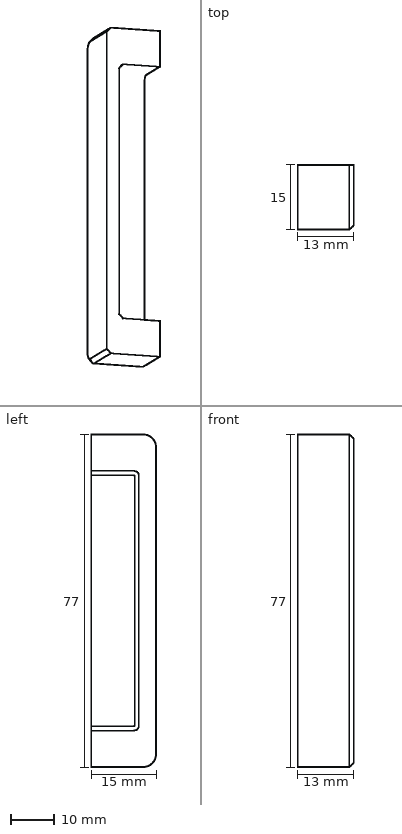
import cadquery as cq

width = 13.0
depth = 15.0
height = 77.0

corner_radius = 3.0
outer_chamfer = 1.0

leg_height = 8.5
grip_thickness = 4.0
wall_thickness = 3.0
recess_corner_radius = 1.1
recess_chamfer = 1.0
overcut = 3.85


def make_body():
    """Bar with rounded front corners and a chamfered +X rim, plain along the back."""
    back_extension = 3.85
    bar = (
        cq.Workplane("XY")
        .box(width, depth + back_extension, height, centered=False)
        .edges("|X and <Y")
        .fillet(corner_radius)
        .faces(">X")
        .chamfer(outer_chamfer)
    )
    envelope = cq.Workplane("XY").box(width, depth, height, centered=False)
    return bar.intersect(envelope)


def make_recess():
    """Cutter for the recess, with rounded corners and a chamfered floor."""
    return (
        cq.Workplane("XY")
        .box(
            width - wall_thickness,
            depth - grip_thickness + overcut,
            height - 2 * leg_height,
            centered=False,
        )
        .edges("|X and <Y")
        .fillet(recess_corner_radius)
        .faces(">X")
        .chamfer(recess_chamfer)
        .translate((0, grip_thickness, leg_height))
    )


result = make_body().cut(make_recess())